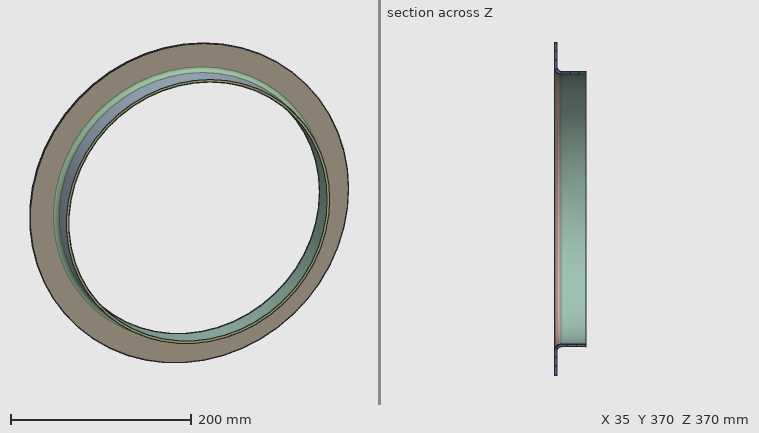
import cadquery as cq

flange_diameter = 370
collar_outer_diameter = 306.0
collar_inner_diameter = 300.0
ring_length = 35.0
mouth_radius = 7.0
root_radius = 5.0

wall = (collar_outer_diameter - collar_inner_diameter) / 2
flange_radius = flange_diameter / 2
outer_radius = collar_outer_diameter / 2
bore_radius = collar_inner_diameter / 2


def ring_profile():
    """Closed half section: X runs along the ring axis and Y is the distance from it."""
    return (
        cq.Workplane("XY")
        .moveTo(0, flange_radius)
        .lineTo(0, bore_radius + mouth_radius)
        .radiusArc((mouth_radius, bore_radius), -mouth_radius)
        .lineTo(ring_length, bore_radius)
        .lineTo(ring_length, outer_radius)
        .lineTo(wall + root_radius, outer_radius)
        .radiusArc((wall, outer_radius + root_radius), root_radius)
        .lineTo(wall, flange_radius)
        .close()
    )


result = ring_profile().revolve(360, (0, 0, 0), (1, 0, 0))